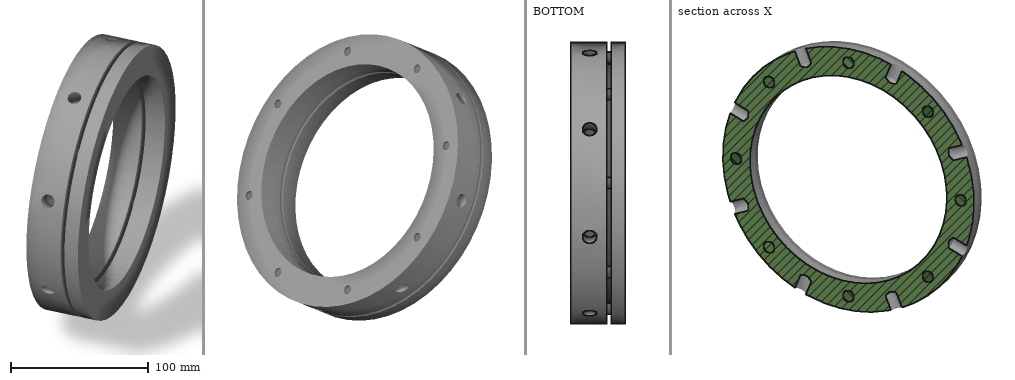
import cadquery as cq
import math

outer_radius = 102.5
inner_radius = 80.0
ring_width = 40.0
groove_width = 3.0
groove_depth = 15.8
outer_groove_x = 26.5
diaphragm_thickness = 1.5

pin_count = 8
pin_circle_radius = 91.5
pin_diameter = 8.2
mouth_diameter = 6.5
mouth_depth = 2.0

radial_hole_diameter = 10.0
radial_hole_depth = 11.9
radial_hole_x = 14.0
drill_tip_angle = 118.0

outer_groove_end_x = outer_groove_x + groove_width
inner_groove_end_x = outer_groove_x - diaphragm_thickness
inner_groove_x = inner_groove_end_x - groove_width
outer_groove_root = outer_radius - groove_depth
inner_groove_root = inner_radius + groove_depth
pin_length = ring_width - mouth_depth
pin_spacing_angle = 360.0 / pin_count


def pin_centre(index):
    """Y and Z of one pin axis."""
    angle = math.radians(index * pin_spacing_angle)
    return pin_circle_radius * math.cos(angle), pin_circle_radius * math.sin(angle)


def axial_cylinder(index, diameter, start_x, length):
    """Cylinder along +X on one pin axis."""
    y, z = pin_centre(index)
    return (
        cq.Workplane("YZ", origin=(start_x, y, z))
        .circle(diameter / 2)
        .extrude(length)
    )


def turned_ring():
    """Section with one groove from the bore and one from the rim, revolved about X."""
    section = [
        (0, inner_radius),
        (inner_groove_x, inner_radius),
        (inner_groove_x, inner_groove_root),
        (inner_groove_end_x, inner_groove_root),
        (inner_groove_end_x, inner_radius),
        (ring_width, inner_radius),
        (ring_width, outer_radius),
        (outer_groove_end_x, outer_radius),
        (outer_groove_end_x, outer_groove_root),
        (outer_groove_x, outer_groove_root),
        (outer_groove_x, outer_radius),
        (0, outer_radius),
    ]
    return cq.Workplane("XZ").polyline(section).close().revolve(360, (0, 0, 0), (1, 0, 0))


def radial_drill(index):
    """Drill shape with a conical tip, pointing from the rim towards the X axis."""
    radius = radial_hole_diameter / 2
    tip_length = radius / math.tan(math.radians(drill_tip_angle / 2))
    shoulder_z = outer_radius - radial_hole_depth
    drill = (
        cq.Workplane("XZ")
        .moveTo(0, shoulder_z - tip_length)
        .lineTo(radius, shoulder_z)
        .lineTo(radius, outer_radius)
        .lineTo(0, outer_radius)
        .close()
        .revolve(360, (0, 0, 0), (0, 1, 0))
    )
    angle = (index + 0.5) * pin_spacing_angle
    return drill.translate((radial_hole_x, 0, 0)).rotate((0, 0, 0), (1, 0, 0), angle)


def make_ring():
    """Turned ring with pin bores, their narrower mouths and the radial holes."""
    ring = turned_ring()
    for index in range(pin_count):
        ring = ring.cut(axial_cylinder(index, pin_diameter, mouth_depth, pin_length))
        ring = ring.cut(axial_cylinder(index, mouth_diameter, 0, mouth_depth))
        ring = ring.cut(radial_drill(index))
    return ring


def make_pin(index):
    """Plain pin from the shoulder behind its mouth to the +X face."""
    return axial_cylinder(index, pin_diameter, mouth_depth, pin_length)


ring = make_ring()
pins = [make_pin(index) for index in range(pin_count)]

result = cq.Compound.makeCompound([ring.val(), *[pin.val() for pin in pins]])